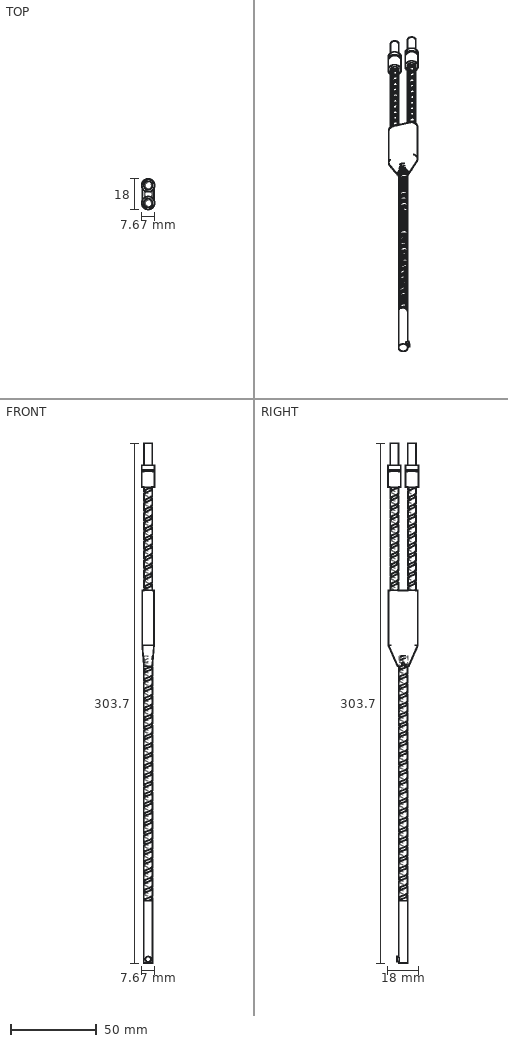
import cadquery as cq
import math

total_height = 303.72
trunk_hose_bottom = 36.6
block_bottom = 173.4
trunk_hose_top = 179.7
taper_top = 185.7
block_top = 217.7
collar_bottom = 278.1
collar_top = 290.9

collar_radius = 7.67 / 2
branch_offset = 17.96 / 2 - collar_radius
tip_radius = 2.5
ring_groove_centre = 287.7
ring_groove_width = 0.9

block_end_radius = 3.5
block_width = 2 * (branch_offset + block_end_radius)
nose_width = 6.5
nose_end_radius = 2.5

trunk_radius = 2.7
key_radius = 1.6
key_height = 2.3
key_reach = 3.6

branch_hose_radius = 2.45
groove_pitch = 5.6
groove_width = 1.7
groove_depth = 0.55
trunk_groove_height = 38.65
branch_groove_height = 221.7


def cylinder(radius, bottom, top):
    return cq.Workplane("XY").workplane(offset=bottom).circle(radius).extrude(top - bottom)


def polar_point(radius, angle):
    return radius * math.cos(angle), radius * math.sin(angle)


def spiral_hose(radius, bottom, top, groove_height):
    """A notched disc twisted upward, so that the notch becomes the spiral groove."""
    height = top - bottom
    root_radius = radius - groove_depth
    half_notch = math.pi * groove_width / groove_pitch
    section = (
        cq.Workplane("XY")
        .moveTo(*polar_point(radius, half_notch))
        .threePointArc((-radius, 0), polar_point(radius, -half_notch))
        .lineTo(*polar_point(root_radius, -half_notch))
        .threePointArc((root_radius, 0), polar_point(root_radius, half_notch))
        .close()
    )
    hose = section.twistExtrude(height, 360 * height / groove_pitch)
    start_angle = 360 * (bottom - groove_height) / groove_pitch
    return hose.rotate((0, 0, 0), (0, 0, 1), start_angle).translate((0, 0, bottom))


def splitter_block():
    """Flat block that tapers down to a nose; the trunk hose breaks out of the nose's flat sides."""
    straight = (
        cq.Workplane("XY")
        .workplane(offset=taper_top)
        .slot2D(block_width, 2 * block_end_radius, 90)
        .extrude(block_top - taper_top)
    )
    taper = (
        cq.Workplane("XY")
        .workplane(offset=block_bottom)
        .slot2D(nose_width, 2 * nose_end_radius, 90)
        .workplane(offset=taper_top - block_bottom)
        .slot2D(block_width, 2 * block_end_radius, 90)
        .loft(ruled=True)
    )
    bore = cylinder(trunk_radius, block_bottom, trunk_hose_top)
    return straight.union(taper).cut(bore)


def trunk_ferrule():
    key = cq.Workplane("XZ").center(0, key_height).circle(key_radius).extrude(key_reach)
    return cylinder(trunk_radius, 0, trunk_hose_bottom).union(key)


def branch_ferrule():
    ring_groove_bottom = ring_groove_centre - ring_groove_width / 2
    ring_groove_top = ring_groove_centre + ring_groove_width / 2
    core = cylinder(tip_radius, collar_bottom, total_height)
    lower_collar = cylinder(collar_radius, collar_bottom, ring_groove_bottom)
    upper_collar = cylinder(collar_radius, ring_groove_top, collar_top)
    return core.union(lower_collar).union(upper_collar)


block = splitter_block()
trunk_end = trunk_ferrule()
trunk_hose = spiral_hose(trunk_radius, trunk_hose_bottom, trunk_hose_top, trunk_groove_height)
branch_hose = spiral_hose(branch_hose_radius, block_top, collar_bottom, branch_groove_height)
branch_end = branch_ferrule()

bodies = [block.solids().val(), trunk_end.solids().val(), trunk_hose.val()]
for side in (-1, 1):
    to_branch = (0, side * branch_offset, 0)
    bodies.append(branch_hose.translate(to_branch).val())
    bodies.append(branch_end.translate(to_branch).solids().val())

result = cq.Compound.makeCompound(bodies)